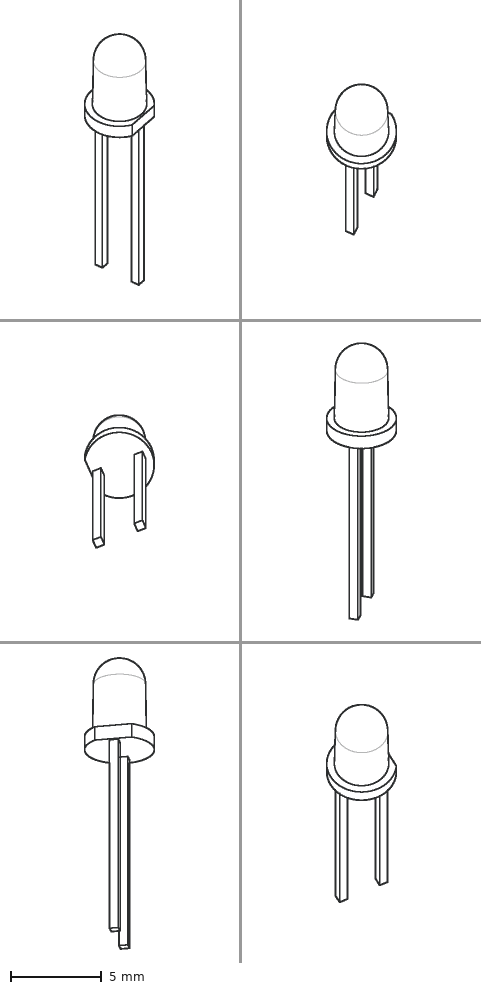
import cadquery as cq

total_height = 16.68
lead_length = 11.3

flange_radius = 1.927
flange_height = 0.8
flat_offset = 1.626
barrel_base_radius = 1.5
dome_radius = 1.45

lead_width = 0.5
lead_pitch = 2.49

flange_top = lead_length + flange_height
dome_base = total_height - dome_radius


def make_flange():
    """Round flange with one side cut flat to mark the polarity."""
    disc = cq.Workplane("XY").workplane(offset=lead_length).circle(flange_radius).extrude(flange_height)
    keep_width = flange_radius + flat_offset
    keep = (
        cq.Workplane("XY")
        .box(keep_width, 2 * flange_radius, flange_height, centered=(False, True, False))
        .translate((-flange_radius, 0, lead_length))
    )
    return disc.intersect(keep)


def make_barrel():
    """Slightly tapered barrel closed by a hemispherical dome."""
    dome_middle = dome_radius * 0.5 ** 0.5
    return (
        cq.Workplane("XZ")
        .moveTo(0, flange_top)
        .lineTo(barrel_base_radius, flange_top)
        .lineTo(dome_radius, dome_base)
        .threePointArc((dome_middle, dome_base + dome_middle), (0, total_height))
        .close()
        .revolve(360, (0, 0, 0), (0, 1, 0))
    )


def make_lead(x_center):
    """Straight square lead ending at the underside of the flange."""
    return (
        cq.Workplane("XY")
        .box(lead_width, lead_width, lead_length, centered=(True, True, False))
        .translate((x_center, 0, 0))
    )


lens = make_flange().union(make_barrel())
leads = [make_lead(side * lead_pitch / 2) for side in (-1, 1)]

result = cq.Compound.makeCompound([lens.val(), *[lead.val() for lead in leads]])